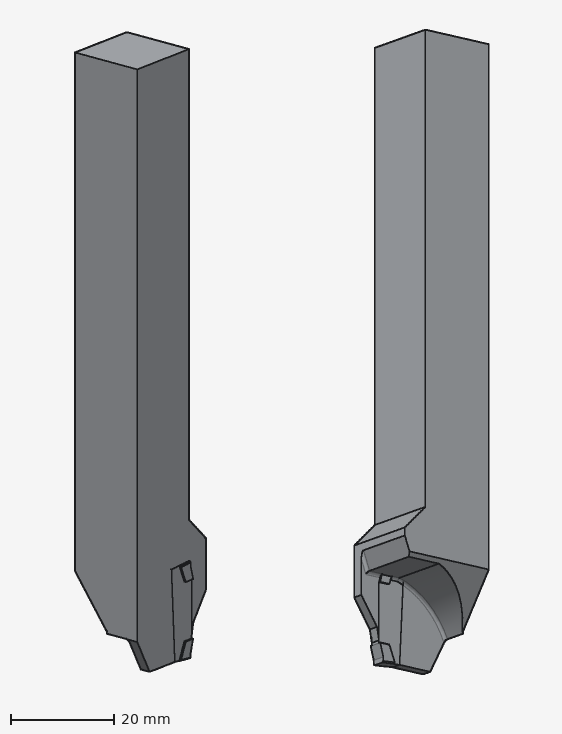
import cadquery as cq

INSERT_LENGTH = 20.0
INSERT_CENTRE_X = 14.6
HEAD_WIDTH = 3.0
BODY_WIDTH = 2.2
INSERT_BACK = 16.5
TIP_Y = 15.8
RAKE_Z = 1.1
SEAT_LOW_Y, SEAT_HIGH_Y = 11.4, 10.4
CLEARANCE_Z = 0.4
CUT_HEAD_TOP = 3.9
CUT_HEAD_TOP_Y = 14.2
CUT_HEAD_LOW_Y = 12.8
CORNER_CHAMFER = 0.2

SHANK = INSERT_CENTRE_X + BODY_WIDTH / 2
TOP = 125.0
HEAD_DEPTH = 20.9
SHOULDER_TOP = 28.4
SHOULDER_BOTTOM = SHOULDER_TOP - (HEAD_DEPTH - SHANK)
JAW_BOTTOM = 12.8
JAW_TIP = (17.0, 7.0)
JAW_LIP_Z = 4.4
CORNER_Z = 7.5
TOE_Y, TOE_Z = 3.8, 0.4
BEVEL_TOP = 18.6
BEVEL_BOTTOM = 8.0
BEVEL_RUN = 8.0

BLADE_LEFT = INSERT_CENTRE_X - BODY_WIDTH / 2
BLADE_ROOT_Z = 17.8
RELIEF_FLAT_Y = 11.9
RELIEF_ARC_MID = (5.6, 14.6)
RELIEF_BACK = (19.4, BLADE_ROOT_Z)
RELIEF_BACK_TOP = 21.6
ROOT_FILLET = 0.6


def side_prism(sketch, x_start, x_end):
    """Extrude a closed YZ outline from x_start to x_end."""
    return sketch.close().extrude(x_end - x_start).translate((x_start, 0, 0))


def insert_outline():
    top = INSERT_LENGTH
    return cq.Workplane("YZ").polyline([
        (SEAT_LOW_Y, CLEARANCE_Z),
        (TIP_Y, 0),
        (TIP_Y, RAKE_Z),
        (INSERT_BACK, CUT_HEAD_TOP),
        (INSERT_BACK, top - CUT_HEAD_TOP),
        (TIP_Y, top - RAKE_Z),
        (TIP_Y, top),
        (SEAT_HIGH_Y, top - CLEARANCE_Z),
    ])


def make_cutting_head():
    """Lower cutting head, with its two end corners chamfered."""
    end_slope = CLEARANCE_Z / (TIP_Y - SEAT_LOW_Y)
    outline = cq.Workplane("YZ").polyline([
        (CUT_HEAD_LOW_Y, end_slope * (TIP_Y - CUT_HEAD_LOW_Y)),
        (TIP_Y, 0),
        (TIP_Y, RAKE_Z),
        (INSERT_BACK, CUT_HEAD_TOP),
        (CUT_HEAD_TOP_Y, CUT_HEAD_TOP),
    ])
    half = HEAD_WIDTH / 2
    head = side_prism(outline, INSERT_CENTRE_X - half, INSERT_CENTRE_X + half)
    return head.faces("<Z").edges("<X or >X").chamfer(CORNER_CHAMFER)


def make_insert():
    half = BODY_WIDTH / 2
    body = side_prism(insert_outline(), INSERT_CENTRE_X - half, INSERT_CENTRE_X + half)
    lower_head = make_cutting_head()
    upper_head = lower_head.mirror("XY", (0, 0, INSERT_LENGTH / 2))
    return body.union(lower_head).union(upper_head).solids()


def make_holder_blank():
    outline = cq.Workplane("YZ").polyline([
        (0, TOP),
        (SHANK, TOP),
        (SHANK, SHOULDER_TOP),
        (HEAD_DEPTH, SHOULDER_BOTTOM),
        (HEAD_DEPTH, JAW_BOTTOM),
        JAW_TIP,
        (INSERT_BACK, JAW_LIP_Z),
        (SEAT_LOW_Y, CLEARANCE_Z),
        (TOE_Y, TOE_Z),
        (0, CORNER_Z),
    ])
    return side_prism(outline, 0, SHANK)


def make_bevel_cutter():
    """Material below the slanted flank on the -X side."""
    return (
        cq.Workplane("XZ")
        .polyline([(0, BEVEL_TOP), (BEVEL_RUN, BEVEL_BOTTOM), (BEVEL_RUN, 0), (0, 0)])
        .close()
        .extrude(-HEAD_DEPTH)
    )


def make_blade_relief():
    """Material beside the blade, with a rounded edge along the blade root."""
    outline = (
        cq.Workplane("YZ")
        .moveTo(0, CORNER_Z)
        .threePointArc(RELIEF_ARC_MID, (RELIEF_FLAT_Y, BLADE_ROOT_Z))
        .lineTo(*RELIEF_BACK)
        .lineTo(HEAD_DEPTH, RELIEF_BACK_TOP)
        .lineTo(HEAD_DEPTH, 0)
        .lineTo(0, 0)
    )
    relief = side_prism(outline, 0, BLADE_LEFT)
    root_edges = relief.faces(">X").edges(cq.selectors.BoxSelector(
        (0, 0, CORNER_Z), (SHANK, HEAD_DEPTH - ROOT_FILLET, TOP)))
    return root_edges.fillet(ROOT_FILLET)


def make_holder(insert):
    pocket = side_prism(insert_outline(), BLADE_LEFT, SHANK)
    blank = make_holder_blank().cut(make_bevel_cutter()).cut(make_blade_relief())
    return blank.cut(pocket).cut(insert).solids()


insert = make_insert()
holder = make_holder(insert)

result = cq.Compound.makeCompound([holder.val(), insert.val()])